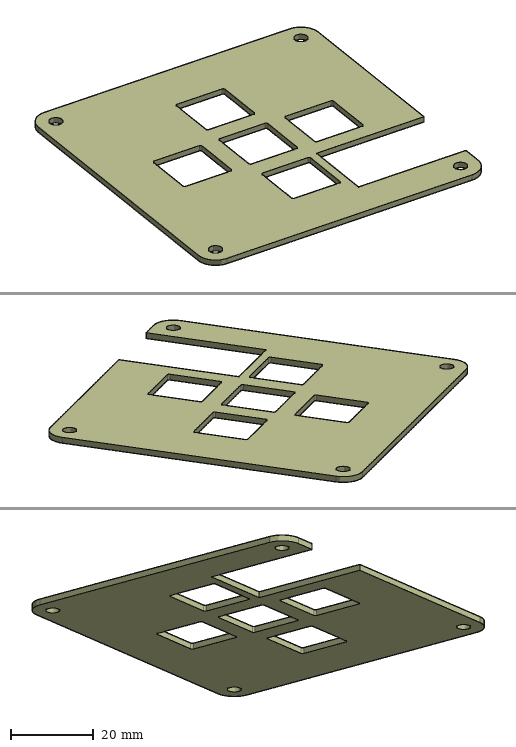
import cadquery as cq

side = 80.9
thickness = 1.5
corner_radius = 5.0

hole_diameter = 3.4
hole_spacing = side - 2 * corner_radius

window_side = 14.0
window_corner_radius = 0.5
window_pitch = 19.0
window_centers = [
    (0, 0),
    (window_pitch, 0),
    (-window_pitch, 0),
    (0, window_pitch),
    (0, -window_pitch),
]

notch_left = 11.5
notch_width = 18.6
notch_depth = 31.1


def make_plate():
    blank = cq.Workplane("XY").box(side, side, thickness, centered=(True, True, False))
    return blank.edges("|Z").fillet(corner_radius)


def make_mounting_holes():
    return (
        cq.Workplane("XY")
        .rect(hole_spacing, hole_spacing, forConstruction=True)
        .vertices()
        .circle(hole_diameter / 2)
        .extrude(thickness)
    )


def make_windows():
    return (
        cq.Workplane("XY")
        .pushPoints(window_centers)
        .rect(window_side, window_side)
        .extrude(thickness)
        .edges("|Z")
        .fillet(window_corner_radius)
    )


def make_notch():
    return (
        cq.Workplane("XY")
        .box(notch_width, notch_depth, thickness, centered=False)
        .translate((notch_left, side / 2 - notch_depth, 0))
    )


plate = make_plate().cut(make_mounting_holes()).cut(make_windows()).cut(make_notch())
result = cq.Workplane("XY").newObject([plate.solids().val()])